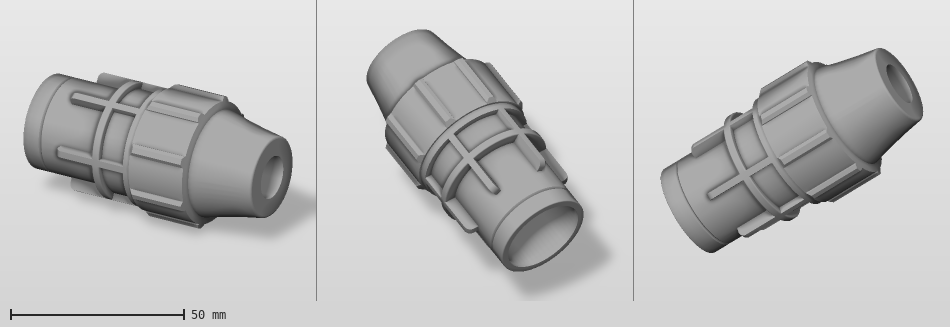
import cadquery as cq
import math

overall_length = 75.0
groove_centre = 5.6
rib_start = 12.7
ring_start = 24.9
ring_end = 27.2
flange_start = 35.3
nut_start = 37.65
nut_rim = 55.5
nut_end = 56.25

sleeve_radius = 14.1
neck_radius = 15.5
flange_radius = 35.1 / 2
nut_radius = 18.2
cone_base_radius = 16.0
cone_middle_radius = 13.7
cone_tip_radius = 12.1
cavity_radius = 24.15 / 2
bore_radius = 12.8 / 2

sleeve_edge_fillet = 0.3
groove_half_width = 0.45
groove_depth = 0.5
ring_edge_fillet = 0.4
tip_fillet = 0.7

rib_count = 6
rib_width = 2.0
rib_corner_radius = 2.0
lug_count = 8
lug_radius = 19.5
lug_top_width = 1.7
lug_base_width = 3.45
lug_shoulder_height = 18.5
lug_start_slope_length = 1.1

envelope_margin = 0.4

embed_radius = (sleeve_radius + cavity_radius) / 2


def disc(start, end, radius):
    """Solid cylinder on the X axis between two stations."""
    return cq.Workplane("YZ", origin=(start, 0, 0)).circle(radius).extrude(end - start)


def revolve_about_x(profile):
    """Turn a closed profile in the XY plane into a solid of revolution about X."""
    return profile.close().revolve(360, (0, 0, 0), (1, 0, 0))


def around_axis(feature, count, first_angle):
    """Union of copies of a feature spaced evenly about the X axis."""
    copies = cq.Workplane("XY")
    for index in range(count):
        angle = first_angle + index * 360 / count
        copies = copies.add(feature.rotate((0, 0, 0), (1, 0, 0), angle))
    return copies.combine()


def make_sleeve():
    """Plain tube end with a rounded rim and a shallow V groove."""
    sleeve = disc(0, nut_start, sleeve_radius).faces("<X").edges().fillet(sleeve_edge_fillet)
    groove = revolve_about_x(
        cq.Workplane("XY")
        .moveTo(groove_centre - groove_half_width, sleeve_radius)
        .lineTo(groove_centre, sleeve_radius - groove_depth)
        .lineTo(groove_centre + groove_half_width, sleeve_radius)
    )
    return sleeve.cut(groove)


def make_collar():
    """Round-edged ring, thicker neck behind it and the flange against the nut."""
    ring = disc(ring_start, ring_end, flange_radius).edges().fillet(ring_edge_fillet)
    neck = disc(ring_start, nut_start, neck_radius)
    flange = disc(flange_start, nut_start, flange_radius)
    return ring.union(neck).union(flange)


def make_ribs():
    """Axial ribs with a rounded leading corner, flush with the flange."""
    length = nut_start - rib_start
    height = flange_radius - embed_radius
    rib = (
        cq.Workplane("XY")
        .box(length, height, rib_width, centered=(False, False, True))
        .translate((rib_start, embed_radius, 0))
        .edges("<X and >Y")
        .fillet(rib_corner_radius)
    )
    rim_limit = disc(rib_start, nut_start, flange_radius)
    return around_axis(rib, rib_count, 0).intersect(rim_limit)


def make_lug():
    """One grip lug of trapezoidal section on a straight-sided base, rooted inside the nut barrel."""
    top_height = math.sqrt(lug_radius**2 - (lug_top_width / 2) ** 2)
    return (
        cq.Workplane("YZ", origin=(nut_start, 0, 0))
        .moveTo(-lug_base_width / 2, embed_radius)
        .lineTo(-lug_base_width / 2, lug_shoulder_height)
        .lineTo(-lug_top_width / 2, top_height)
        .threePointArc((0, lug_radius), (lug_top_width / 2, top_height))
        .lineTo(lug_base_width / 2, lug_shoulder_height)
        .lineTo(lug_base_width / 2, embed_radius)
        .close()
        .extrude(nut_end - nut_start)
    )


def make_nut():
    """Lugged barrel, with lug starts sloped and one bevel across the barrel and lug ends."""
    half_pitch = 360 / lug_count / 2
    lugs = around_axis(make_lug(), lug_count, half_pitch)
    barrel = disc(nut_start, nut_end, nut_radius)
    bevel_slope = (nut_end - nut_rim) / (nut_radius - cone_base_radius)
    outer_radius = lug_radius + envelope_margin
    bevel_start = nut_rim - bevel_slope * (outer_radius - nut_radius)
    lug_start_slope = lug_start_slope_length / (lug_radius - nut_radius)
    slope_end = nut_start + lug_start_slope * (outer_radius - nut_radius)
    envelope = revolve_about_x(
        cq.Workplane("XY")
        .moveTo(nut_start, 0)
        .lineTo(nut_start, nut_radius)
        .lineTo(slope_end, outer_radius)
        .lineTo(bevel_start, outer_radius)
        .lineTo(nut_end, cone_base_radius)
        .lineTo(nut_end, 0)
    )
    return barrel.union(lugs).intersect(envelope)


def make_cone():
    """Slightly concave cone from the nut to the rounded tip."""
    middle = (nut_end + overall_length) / 2
    cone = revolve_about_x(
        cq.Workplane("XY")
        .moveTo(nut_end, 0)
        .lineTo(nut_end, cone_base_radius)
        .threePointArc((middle, cone_middle_radius), (overall_length, cone_tip_radius))
        .lineTo(overall_length, 0)
    )
    return cone.faces(">X").edges().fillet(tip_fillet)


cavity = disc(0, flange_start, cavity_radius)
bore = disc(0, overall_length, bore_radius)

result = (
    make_sleeve()
    .union(make_collar())
    .union(make_ribs())
    .union(make_nut())
    .union(make_cone())
    .cut(cavity)
    .cut(bore)
)